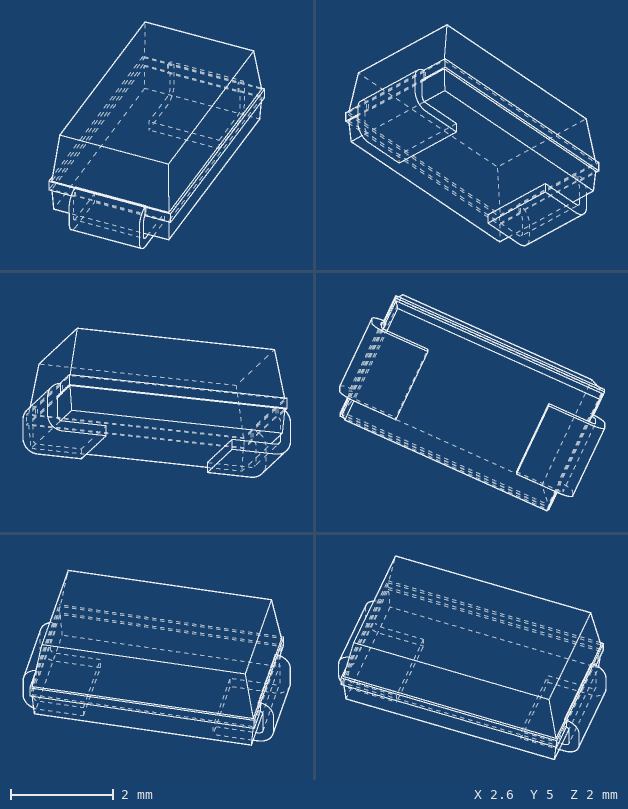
import cadquery as cq
import math

flange_width = 2.6
overall_length = 5.0
overall_height = 2.0

lead_width = 1.5
lead_thickness = 0.205
bend_radius = 0.305
foot_length = 1.205
lead_top = 0.977

flange_length = 4.48
flange_bottom = lead_top - lead_thickness
housing_bottom = 0.275
parting_width = 2.5
parting_length = 4.42
upper_side_draft = 5.0
upper_end_draft = 10.0
lower_side_draft = 2.5
lower_end_draft = 5.0


def tapered_block(parting_z, end_z, side_draft, end_draft):
    """Block that narrows from the parting outline at parting_z to a smaller face at end_z."""
    height = abs(end_z - parting_z)
    end_width = parting_width - 2 * height * math.tan(math.radians(side_draft))
    end_length = parting_length - 2 * height * math.tan(math.radians(end_draft))
    return (
        cq.Workplane("XY", origin=(0, 0, parting_z))
        .rect(parting_width, parting_length)
        .workplane(offset=end_z - parting_z)
        .rect(end_width, end_length)
        .loft(ruled=True)
    )


def make_lead(end_sign):
    """C-shaped lead at the +Y (end_sign = 1) or -Y (end_sign = -1) end."""
    outer_y = overall_length / 2
    inner_y = outer_y - lead_thickness
    bend_y = outer_y - bend_radius
    foot_end_y = outer_y - foot_length
    lower_bend_z = bend_radius
    upper_bend_z = lead_top - bend_radius
    inner_radius = bend_radius - lead_thickness
    outer_diagonal = bend_radius * math.sqrt(0.5)
    inner_diagonal = inner_radius * math.sqrt(0.5)

    def point(y, z):
        return (end_sign * y, z)

    profile = (
        cq.Workplane("YZ", origin=(-lead_width / 2, 0, 0))
        .moveTo(*point(foot_end_y, 0))
        .lineTo(*point(bend_y, 0))
        .threePointArc(
            point(bend_y + outer_diagonal, lower_bend_z - outer_diagonal),
            point(outer_y, lower_bend_z),
        )
        .lineTo(*point(outer_y, upper_bend_z))
        .threePointArc(
            point(bend_y + outer_diagonal, upper_bend_z + outer_diagonal),
            point(bend_y, lead_top),
        )
        .lineTo(*point(bend_y, flange_bottom))
        .threePointArc(
            point(bend_y + inner_diagonal, upper_bend_z + inner_diagonal),
            point(inner_y, upper_bend_z),
        )
        .lineTo(*point(inner_y, lower_bend_z))
        .threePointArc(
            point(bend_y + inner_diagonal, lower_bend_z - inner_diagonal),
            point(bend_y, lead_thickness),
        )
        .lineTo(*point(foot_end_y, lead_thickness))
        .close()
    )
    return profile.extrude(lead_width)


def make_housing(lead_bodies):
    """Tapered housing with a flange, notched at both ends where the leads enter."""
    upper_half = tapered_block(lead_top, overall_height, upper_side_draft, upper_end_draft)
    lower_half = tapered_block(flange_bottom, housing_bottom, lower_side_draft, lower_end_draft)
    flange = cq.Workplane("XY", origin=(0, 0, flange_bottom)).rect(flange_width, flange_length)
    body = flange.extrude(lead_thickness).union(upper_half).union(lower_half)
    for lead in lead_bodies:
        body = body.cut(lead)
    return body


leads = [make_lead(end_sign) for end_sign in (-1, 1)]
housing = make_housing(leads)

result = cq.Compound.makeCompound([housing.solids().val(), *[lead.val() for lead in leads]])